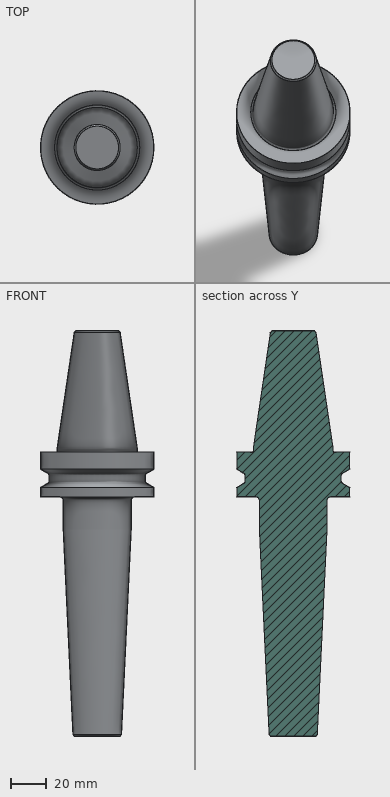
import cadquery as cq
import math

total_length = 225.5

taper_length = 65.4
gauge_radius = 22.3
taper_rate = 7 / 24
taper_top_radius = gauge_radius - taper_length * taper_rate / 2
top_chamfer = 1.0

flange_top_z = -2.0
recess_radius = 23.7
recess_depth = 0.2
recess_floor_z = flange_top_z - recess_depth
collar_fillet = 1.0

flange_radius = 31.5
flange_bottom_z = -27.0
groove_center_z = -16.7
groove_mouth_width = 10.1
root_radius = 26.8
flank_angle = 30
root_fillet = 1.0

neck_radius = 19.0
neck_bottom_z = -45.3
neck_fillet = 2.0
nose_tip_radius = 13.5
tip_chamfer = 1.0


def holder_body():
    """Taper, flange blank and nose revolved from one half outline."""
    tip_z = taper_length - total_length
    outline = (
        cq.Workplane("XZ")
        .moveTo(0, tip_z)
        .lineTo(nose_tip_radius - tip_chamfer, tip_z)
        .lineTo(nose_tip_radius, tip_z + tip_chamfer)
        .lineTo(neck_radius, neck_bottom_z)
        .lineTo(neck_radius, flange_bottom_z - neck_fillet)
        .radiusArc((neck_radius + neck_fillet, flange_bottom_z), neck_fillet)
        .lineTo(flange_radius, flange_bottom_z)
        .lineTo(flange_radius, flange_top_z)
        .lineTo(recess_radius, flange_top_z)
        .lineTo(recess_radius, recess_floor_z)
        .lineTo(gauge_radius + collar_fillet, recess_floor_z)
        .radiusArc((gauge_radius, recess_floor_z + collar_fillet), collar_fillet)
        .lineTo(gauge_radius, 0)
        .lineTo(taper_top_radius, taper_length - top_chamfer)
        .lineTo(taper_top_radius - top_chamfer, taper_length)
        .lineTo(0, taper_length)
        .close()
    )
    return outline.revolve(360, (0, 0, 0), (0, 1, 0))


def gripper_groove():
    """V groove with sloping flanks and a flat root rounded at both corners."""
    half_mouth = groove_mouth_width / 2
    flank_height = (flange_radius - root_radius) * math.tan(math.radians(flank_angle))
    half_root = half_mouth - flank_height
    outline = (
        cq.Workplane("XZ", origin=(0, 0, groove_center_z))
        .moveTo(flange_radius, half_mouth)
        .lineTo(root_radius, half_root)
        .lineTo(root_radius, -half_root)
        .lineTo(flange_radius, -half_mouth)
        .close()
    )
    cutter = outline.revolve(360, (0, 0, 0), (0, 1, 0))
    root_edges = cq.selectors.RadiusNthSelector(0)
    return cutter.edges(root_edges).fillet(root_fillet)


result = holder_body().cut(gripper_groove())